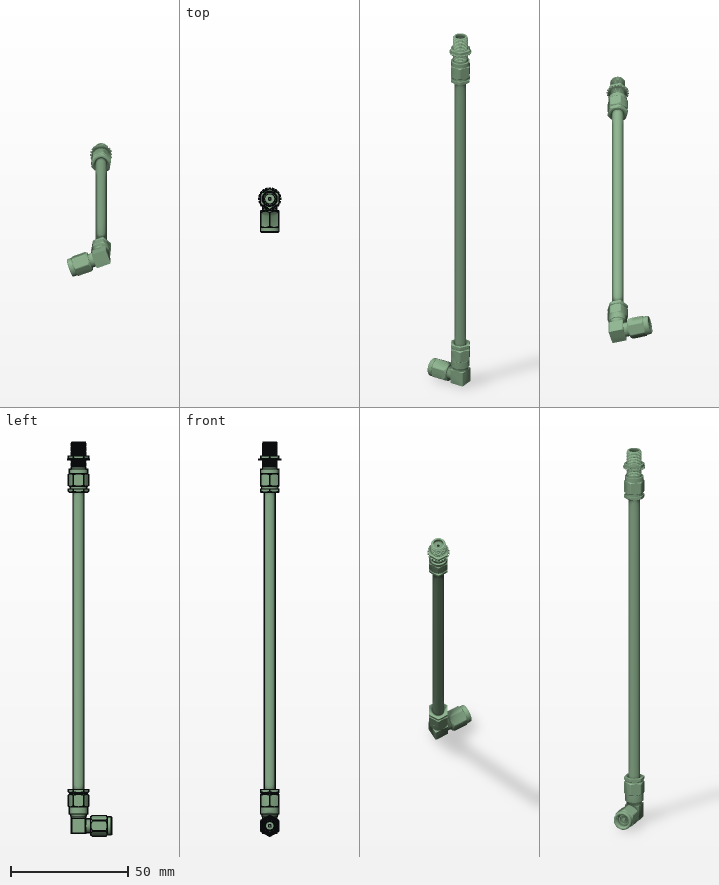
import cadquery as cq
import math


TOP = 168.5
HEX_SIDES = 6
HEX_FLATS = 8.0
HEX_CORNER_DIA = 9.0
BARREL_DIA = HEX_FLATS
BEVEL_DIA = 7.5
BEVEL = 0.5
GROOVE_DIA = 7.2
CABLE_DIA = 4.9
MOUTH_DIA = 6.0
MOUTH_DEPTH = 0.5

THREAD_DIA = 6.4
THREAD_ROOT_DIA = 5.5
THREAD_PITCH = 0.7

JACK_BOTTOM = 146.9
JACK_GROOVE_BOTTOM = 148.4
JACK_HEX_BOTTOM = 149.4
JACK_HEX_TOP = 155.0
JACK_BARREL_TOP = 156.8
JACK_THREAD_BOTTOM = 157.7
JACK_LEAD_IN = 0.5

BORE_DIA = 4.4
BORE_DEPTH = 1.7
SOCKET_DIA = 1.2
SOCKET_DEPTH = 1.7
PIN_DIA = SOCKET_DIA

WASHER_BOTTOM = 160.7
WASHER_TOP = 161.2
NUT_TOP = 162.5
NUT_BEVEL = 0.3
WASHER_DIA = 9.5
WASHER_ROOT_DIA = 8.5
WASHER_TEETH = 20

PLUG_TOP = 20.0
PLUG_GROOVE_TOP = 18.5
PLUG_HEX_TOP = 18.0
PLUG_HEX_BOTTOM = 12.5
PLUG_BARREL_BOTTOM = 9.5
COLLAR_TOP = 8.3
COLLAR_DIA = 6.4
COLLAR_CONE_DIA = 7.2

PORT_Z = HEX_CORNER_DIA / 2
BLOCK_SIDE = 6.4
BLOCK_CHAMFER = 0.3
PORT_NECK_DIA = 6.0
COUPLING_BACK = 5.0
COUPLING_HEX_FRONT = 12.3
COUPLING_FRONT = 14.3
COUPLING_BACK_BEVEL = 0.8
COUPLING_RIM_CHAMFER = 0.3
COUPLING_DEPTH = 5.4
SLEEVE_DIA = 4.5
SLEEVE_RECESS = 2.0
SLEEVE_BORE_DIA = 3.7
SLEEVE_BORE_DEPTH = 0.8
PIN_RECESS = 1.7


def cylinder(diameter, bottom, top):
    return cq.Workplane("XY").workplane(offset=bottom).circle(diameter / 2).extrude(top - bottom)


def cone(bottom_dia, top_dia, bottom, top):
    profile = [(0, bottom), (bottom_dia / 2, bottom), (top_dia / 2, top), (0, top)]
    return cq.Workplane("XZ").polyline(profile).close().revolve(360, (0, 0), (0, 1))


def hexagon(bottom, top, bottom_bevel=0.0, top_bevel=0.0):
    """Hexagon with turned-down corners on +Y and -Y, bevelled where a bevel length is given."""
    prism = (
        cq.Workplane("XY").workplane(offset=bottom)
        .polygon(HEX_SIDES, HEX_FLATS / math.cos(math.pi / HEX_SIDES)).extrude(top - bottom)
        .rotate((0, 0, 0), (0, 0, 1), 180 / HEX_SIDES)
    )
    turned = cylinder(HEX_CORNER_DIA, bottom + bottom_bevel, top - top_bevel)
    if bottom_bevel:
        turned = turned.union(cone(BEVEL_DIA, HEX_CORNER_DIA, bottom, bottom + bottom_bevel))
    if top_bevel:
        turned = turned.union(cone(HEX_CORNER_DIA, BEVEL_DIA, top - top_bevel, top))
    return prism.intersect(turned)


def thread(bottom, top):
    """Rod with ring grooves at the thread pitch; crest, root and flanks each take a quarter pitch."""
    crest_radius = THREAD_DIA / 2
    root_radius = THREAD_ROOT_DIA / 2
    step = THREAD_PITCH / 4
    profile = [(0, bottom), (crest_radius, bottom)]
    for turn in range(int((top - bottom) / THREAD_PITCH)):
        start = bottom + turn * THREAD_PITCH
        profile.append((crest_radius, start + step))
        profile.append((root_radius, start + 2 * step))
        profile.append((root_radius, start + 3 * step))
        profile.append((crest_radius, start + 4 * step))
    profile += [(crest_radius, top), (0, top)]
    return cq.Workplane("XZ").polyline(profile).close().revolve(360, (0, 0), (0, 1))


def make_cable():
    return cylinder(CABLE_DIA, PLUG_TOP - MOUTH_DEPTH, JACK_BOTTOM + MOUTH_DEPTH)


def make_jack():
    clamp = (
        hexagon(JACK_BOTTOM, JACK_GROOVE_BOTTOM, bottom_bevel=BEVEL)
        .union(cylinder(GROOVE_DIA, JACK_GROOVE_BOTTOM, JACK_HEX_BOTTOM))
        .union(hexagon(JACK_HEX_BOTTOM, JACK_HEX_TOP, bottom_bevel=BEVEL, top_bevel=BEVEL))
    )
    mouth = cone(MOUTH_DIA, CABLE_DIA, JACK_BOTTOM, JACK_BOTTOM + MOUTH_DEPTH)
    barrel = cylinder(BARREL_DIA, JACK_HEX_TOP, JACK_BARREL_TOP)
    shoulder = cylinder(THREAD_DIA, JACK_BARREL_TOP, JACK_THREAD_BOTTOM)
    lead_in = cone(THREAD_DIA, THREAD_ROOT_DIA, TOP - JACK_LEAD_IN, TOP)
    limit = cylinder(THREAD_DIA, JACK_THREAD_BOTTOM, TOP - JACK_LEAD_IN).union(lead_in)
    threaded_end = thread(JACK_THREAD_BOTTOM, TOP).intersect(limit)
    bore = cylinder(BORE_DIA, TOP - BORE_DEPTH, TOP)
    socket = cylinder(SOCKET_DIA, TOP - BORE_DEPTH - SOCKET_DEPTH, TOP)
    return clamp.cut(mouth).union(barrel).union(shoulder).union(threaded_end).cut(bore).cut(socket)


def make_hex_nut():
    return hexagon(WASHER_TOP, NUT_TOP, bottom_bevel=NUT_BEVEL).cut(
        cylinder(THREAD_DIA, WASHER_TOP, NUT_TOP)
    )


def make_lock_washer():
    ring = cylinder(WASHER_DIA, WASHER_BOTTOM, WASHER_TOP)
    pitch_angle = 360 / WASHER_TEETH
    gap_width = math.pi * WASHER_DIA / WASHER_TEETH / 2
    gap_depth = (WASHER_DIA - WASHER_ROOT_DIA) / 2
    gaps = (
        cq.Workplane("XY").workplane(offset=WASHER_BOTTOM)
        .polarArray(WASHER_DIA / 2, pitch_angle / 2, 360, WASHER_TEETH)
        .rect(2 * gap_depth, gap_width).extrude(WASHER_TOP - WASHER_BOTTOM)
    )
    return ring.cut(gaps).cut(cylinder(THREAD_DIA, WASHER_BOTTOM, WASHER_TOP))


def make_port():
    """Port of the plug, built along +Z from the cable axis and then turned to -Y."""
    neck = cylinder(PORT_NECK_DIA, 0, COUPLING_BACK)
    barrel = cylinder(BARREL_DIA, COUPLING_HEX_FRONT, COUPLING_FRONT)
    barrel = barrel.faces(">Z").edges().chamfer(COUPLING_RIM_CHAMFER)
    floor = COUPLING_FRONT - COUPLING_DEPTH
    lead_in_depth = (THREAD_DIA - THREAD_ROOT_DIA) / 2
    lead_in = cone(THREAD_ROOT_DIA, THREAD_DIA, COUPLING_FRONT - lead_in_depth, COUPLING_FRONT)
    coupling = (
        hexagon(COUPLING_BACK, COUPLING_HEX_FRONT, COUPLING_BACK_BEVEL, BEVEL)
        .union(barrel)
        .cut(thread(floor, COUPLING_FRONT - lead_in_depth))
        .cut(cylinder(THREAD_ROOT_DIA, floor, COUPLING_FRONT))
        .cut(lead_in)
    )
    sleeve_end = COUPLING_FRONT - SLEEVE_RECESS
    sleeve = cylinder(SLEEVE_DIA, floor, sleeve_end)
    sleeve_bore = cylinder(SLEEVE_BORE_DIA, sleeve_end - SLEEVE_BORE_DEPTH, sleeve_end)
    pin = cylinder(PIN_DIA, floor, COUPLING_FRONT - PIN_RECESS)
    port = neck.union(coupling).union(sleeve.cut(sleeve_bore)).union(pin)
    return port.rotate((0, 0, 0), (1, 0, 0), 90).translate((0, 0, PORT_Z))


def make_plug():
    clamp = (
        hexagon(PLUG_GROOVE_TOP, PLUG_TOP, bottom_bevel=BEVEL)
        .union(cylinder(GROOVE_DIA, PLUG_HEX_TOP, PLUG_GROOVE_TOP))
        .union(hexagon(PLUG_HEX_BOTTOM, PLUG_HEX_TOP, bottom_bevel=BEVEL, top_bevel=BEVEL))
    )
    barrel = cylinder(BARREL_DIA, PLUG_BARREL_BOTTOM, PLUG_HEX_BOTTOM)
    collar = cone(COLLAR_DIA, COLLAR_CONE_DIA, COLLAR_TOP, PLUG_BARREL_BOTTOM).union(
        cylinder(COLLAR_DIA, PORT_Z, COLLAR_TOP)
    )
    block = (
        cq.Workplane("XY").box(BLOCK_SIDE, BLOCK_SIDE, BLOCK_SIDE)
        .edges("|Z").chamfer(BLOCK_CHAMFER).translate((0, 0, PORT_Z))
    )
    mouth = cone(CABLE_DIA, MOUTH_DIA, PLUG_TOP - MOUTH_DEPTH, PLUG_TOP)
    return block.union(make_port()).union(collar).union(barrel).union(clamp.cut(mouth))


cable = make_cable()
jack = make_jack()
hex_nut = make_hex_nut()
lock_washer = make_lock_washer()
plug = make_plug()

result = cq.Compound.makeCompound(
    [cable.val(), jack.val(), hex_nut.val(), lock_washer.val(), plug.val()]
)